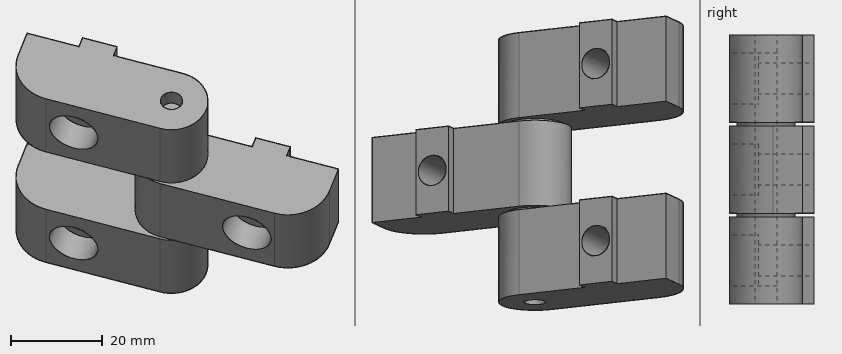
import cadquery as cq
import math

INCH = 25.4

leaf_height = 0.75 * INCH
leaf_thickness = 0.625 * INCH
leaf_reach = 1.405 * INCH
corner_radius = 0.375 * INCH
knuckle_radius = leaf_thickness / 2
front_y = -knuckle_radius
back_y = knuckle_radius

tab_width = 0.3125 * INCH
tab_depth = 0.1 * INCH
screw_offset = 0.78125 * INCH

screw_hole_diameter = 17 / 64 * INCH
counterbore_diameter = 7 / 16 * INCH
counterbore_depth = 0.25 * INCH

pin_diameter = 0.1875 * INCH
pin_length = 2.0 * INCH
washer_diameter = 0.5 * INCH
washer_thickness = 0.03 * INCH

leaf_pitch = leaf_height + washer_thickness


def make_leaf(side, center_z):
    """One leaf reaching along X towards side (-1 or +1), centred at height center_z."""
    outer_x = side * leaf_reach
    corner_start_x = side * (leaf_reach - corner_radius)
    corner_inset = corner_radius * (1 - math.cos(math.pi / 4))
    corner_mid_x = side * (leaf_reach - corner_inset)
    corner_mid_y = front_y + corner_inset
    screw_x = side * screw_offset

    leaf = (
        cq.Workplane("XY")
        .moveTo(0, back_y)
        .lineTo(outer_x, back_y)
        .lineTo(outer_x, front_y + corner_radius)
        .threePointArc((corner_mid_x, corner_mid_y), (corner_start_x, front_y))
        .lineTo(0, front_y)
        .threePointArc((-side * knuckle_radius, 0), (0, back_y))
        .close()
        .extrude(leaf_height / 2, both=True)
    )
    tab = (
        cq.Workplane("XY")
        .center(screw_x, back_y)
        .rect(tab_width, 2 * tab_depth)
        .extrude(leaf_height / 2, both=True)
    )
    pin_hole = cq.Workplane("XY").circle(pin_diameter / 2).extrude(leaf_height / 2, both=True)
    front_plane = cq.Workplane("XZ", origin=(screw_x, front_y, 0))
    screw_hole = front_plane.circle(screw_hole_diameter / 2).extrude(-(leaf_thickness + tab_depth))
    counterbore = front_plane.circle(counterbore_diameter / 2).extrude(-counterbore_depth)

    leaf = leaf.union(tab).cut(pin_hole).cut(screw_hole).cut(counterbore)
    return leaf.translate((0, 0, center_z))


def make_washer(center_z):
    """Flat washer around the pin, filling the gap between two leaves."""
    return (
        cq.Workplane("XY")
        .circle(washer_diameter / 2)
        .circle(pin_diameter / 2)
        .extrude(washer_thickness / 2, both=True)
        .translate((0, 0, center_z))
    )


outer_leaves = [make_leaf(-1, z) for z in (-leaf_pitch, leaf_pitch)]
middle_leaf = make_leaf(1, 0)
washers = [make_washer(z) for z in (-leaf_pitch / 2, leaf_pitch / 2)]

pin = cq.Workplane("XY").circle(pin_diameter / 2).extrude(pin_length / 2, both=True)

result = cq.Compound.makeCompound(
    [
        *[leaf.val() for leaf in outer_leaves],
        middle_leaf.val(),
        *[washer.val() for washer in washers],
        pin.val(),
    ]
)